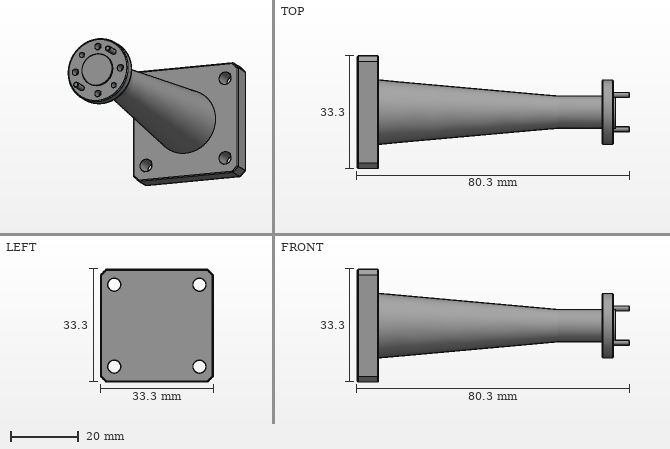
import cadquery as cq
import math

overall_length = 80.3

plate_side = 33.3
plate_thickness = 6.35
plate_corner_cut = 1.7
plate_edge_chamfer = 0.3
plate_hole_diameter = 3.8
plate_hole_spacing_y = 25.1
plate_hole_spacing_z = 24.15

barrel_diameter = 9.55
barrel_radius = barrel_diameter / 2
horn_start_radius = 2 * barrel_radius
barrel_start_x = 59.3

flange_radius = horn_start_radius
flange_start_x = 72.15
flange_end_x = 75.5
flange_edge_chamfer = 0.3
boss_height = 0.65
boss_radius = barrel_radius
boss_end_x = flange_end_x + boss_height

hole_circle_radius = 7.15
screw_hole_diameter = 1.9
screw_hole_angles = (0, 90, 180, 270)
pin_diameter = 1.5
pin_tip_chamfer = 0.2
pin_angles = (45, 225)
dowel_hole_diameter = 1.5
dowel_hole_angles = (135, 315)


def circle_points(angles):
    """Points (y, z) on the hole circle, with the angles measured from +Y toward +Z."""
    return [
        (
            hole_circle_radius * math.cos(math.radians(angle)),
            hole_circle_radius * math.sin(math.radians(angle)),
        )
        for angle in angles
    ]


def rods(start_x, end_x, diameter, points):
    """Round rods along X, one at each (y, z) point."""
    return (
        cq.Workplane("YZ", origin=(start_x, 0, 0))
        .pushPoints(points)
        .circle(diameter / 2)
        .extrude(end_x - start_x)
    )


def make_plate():
    """Square plate with cut corners, chamfered rims and four mounting holes."""
    plate = (
        cq.Workplane("YZ")
        .rect(plate_side, plate_side)
        .extrude(plate_thickness)
        .edges("|X")
        .chamfer(plate_corner_cut)
        .faces("<X or >X")
        .edges()
        .chamfer(plate_edge_chamfer)
    )
    hole_points = [
        (side_y * plate_hole_spacing_y / 2, side_z * plate_hole_spacing_z / 2)
        for side_y in (-1, 1)
        for side_z in (-1, 1)
    ]
    return plate.cut(rods(0, plate_thickness, plate_hole_diameter, hole_points))


def make_turned_section():
    """Horn, barrel, round flange and boss, revolved about the X axis."""
    rim_radius = flange_radius - flange_edge_chamfer
    return (
        cq.Workplane("XZ")
        .moveTo(plate_thickness, 0)
        .lineTo(plate_thickness, horn_start_radius)
        .lineTo(barrel_start_x, barrel_radius)
        .lineTo(flange_start_x, barrel_radius)
        .lineTo(flange_start_x, rim_radius)
        .lineTo(flange_start_x + flange_edge_chamfer, flange_radius)
        .lineTo(flange_end_x - flange_edge_chamfer, flange_radius)
        .lineTo(flange_end_x, rim_radius)
        .lineTo(flange_end_x, boss_radius)
        .lineTo(boss_end_x, boss_radius)
        .lineTo(boss_end_x, 0)
        .close()
        .revolve(360, (0, 0, 0), (1, 0, 0))
    )


def make_housing():
    """Plate and turned section in one piece, with the flange's holes drilled through."""
    housing = make_plate().union(make_turned_section())
    flange_holes = (
        (screw_hole_diameter, screw_hole_angles),
        (dowel_hole_diameter, dowel_hole_angles),
        (pin_diameter, pin_angles),
    )
    for diameter, angles in flange_holes:
        housing = housing.cut(rods(flange_start_x, flange_end_x, diameter, circle_points(angles)))
    return housing


def make_pin(point):
    """Dowel pin, flush with the flange's inner face and chamfered at its free tip."""
    pin = rods(flange_start_x, overall_length, pin_diameter, [point])
    return pin.faces(">X").chamfer(pin_tip_chamfer)


housing = make_housing()
pins = [make_pin(point) for point in circle_points(pin_angles)]

result = cq.Compound.makeCompound([housing.solids().val(), *[pin.solids().val() for pin in pins]])